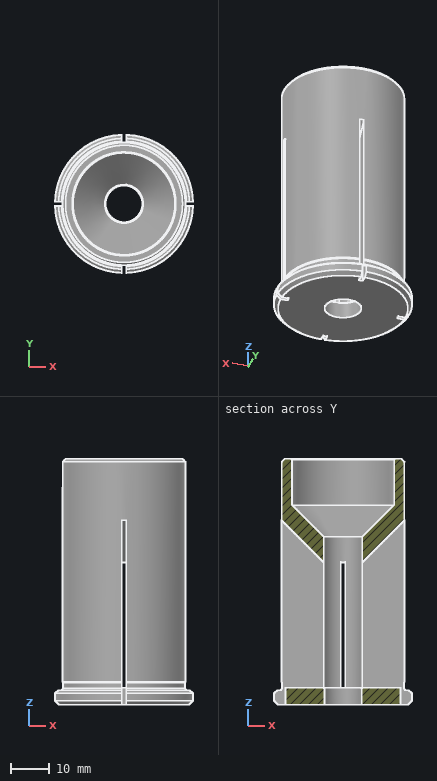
import cadquery as cq

length = 64.0
body_radius = 16.0
rim_outer_chamfer = 0.8
rim_chamfer_height = 0.8

flange_radius = 18.0
bottom_chamfer = 1.1
upper_chamfer_bottom = 3.1
upper_chamfer_height = 0.8
upper_chamfer_width = 0.95
flange_top = upper_chamfer_bottom + upper_chamfer_height
neck_radius = 15.9
neck_bottom = 4.3
neck_top = 5.75
neck_taper = 0.25
neck_foot = 0.4

lip_radius = 9.55 / 2
bore_radius = 10.0 / 2
pocket_radius = 26.5 / 2
pocket_floor = 52.0
rim_inner_chamfer = 0.25
funnel_bottom = pocket_floor - (pocket_radius - bore_radius)

slot_count = 4
slot_width = 1.1
slot_top = 48.0
lip_height = 4.5
slot_floor_radius = 15.0


def make_sleeve():
    """Revolve the stepped wall section about the Z axis."""
    wall = [
        (lip_radius, 0),
        (flange_radius - bottom_chamfer, 0),
        (flange_radius, bottom_chamfer),
        (flange_radius, upper_chamfer_bottom),
        (flange_radius - upper_chamfer_width, flange_top),
        (neck_radius + neck_foot, flange_top),
        (neck_radius, neck_bottom),
        (neck_radius, neck_top),
        (body_radius, neck_top + neck_taper),
        (body_radius, length - rim_chamfer_height),
        (body_radius - rim_outer_chamfer, length),
        (pocket_radius + rim_inner_chamfer, length),
        (pocket_radius, length - rim_inner_chamfer),
        (pocket_radius, pocket_floor),
        (bore_radius, funnel_bottom),
        (bore_radius, lip_height),
        (lip_radius, lip_height),
    ]
    return cq.Workplane("XZ").polyline(wall).close().revolve(360, (0, 0, 0), (0, 1, 0))


def make_slot():
    """One slot along +X: its upper end slopes at 45 degrees, its lower end leaves a closed ring."""
    outer = flange_radius + 0.65
    outline = [
        (0, lip_height),
        (slot_floor_radius, lip_height),
        (slot_floor_radius, 0),
        (outer, 0),
        (outer, slot_top + outer - body_radius),
        (0, slot_top - body_radius),
    ]
    return cq.Workplane("XZ").polyline(outline).close().extrude(slot_width / 2, both=True)


result = make_sleeve()
for index in range(slot_count):
    angle = index * 360 / slot_count
    result = result.cut(make_slot().rotate((0, 0, 0), (0, 0, 1), angle))